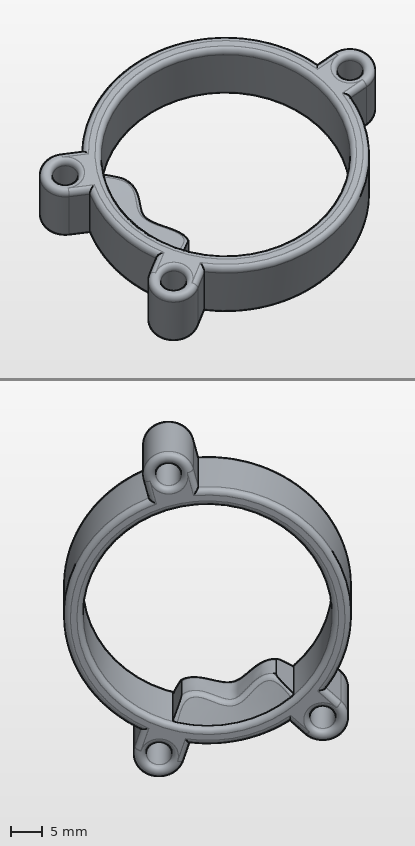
import cadquery as cq
import math

overall_depth = 55.15
height = 12.0
edge_round = 1.0

ring_outer_diameter = 45.0
ring_bore_diameter = 39.0
ring_outer_radius = ring_outer_diameter / 2
ring_bore_radius = ring_bore_diameter / 2

lug_width = 8.0
lug_hole_diameter = 4.0
lug_radius = lug_width / 2
lug_hole_radius = lug_hole_diameter / 2
front_lug_angle = 31.3
lug_directions = (90.0, 270.0 - front_lug_angle, 270.0 + front_lug_angle)
lug_circle_radius = (overall_depth - 2 * lug_radius) / (1 + math.cos(math.radians(front_lug_angle)))
neck_start_radius = 20.95

pad_bottom = edge_round
pad_top = height - edge_round
pad_slope = 0.45
pad_root_half_width = 9.75
pad_tip_half_width = 7.6
pad_tip_y = -13.9
pad_lobe_x = 6.85
pad_lobe_y = -13.7
pad_flank_x = 3.65
pad_flank_y = -14.55
pad_valley_y = -16.3
pad_lip_round = 1.1


def make_ring():
    """Plain ring with rounded rims."""
    ring = cq.Workplane("XY").circle(ring_outer_radius).circle(ring_bore_radius).extrude(height)
    return ring.faces("<Z or >Z").edges().fillet(edge_round)


def make_eye():
    """Lug end around its hole, on the Z axis, with fully rounded rims."""
    wall_middle = (lug_radius + lug_hole_radius) / 2
    shoulder = height - edge_round
    return (
        cq.Workplane("XZ")
        .moveTo(lug_hole_radius, edge_round)
        .threePointArc((wall_middle, 0), (lug_radius, edge_round))
        .lineTo(lug_radius, shoulder)
        .threePointArc((wall_middle, height), (lug_hole_radius, shoulder))
        .close()
        .revolve(360, (0, 0, 0), (0, 1, 0))
    )


def make_flared_hole():
    """Cutter on the Z axis for a lug hole whose two mouths are rounded."""
    mouth_radius = lug_hole_radius + edge_round
    arc_middle = edge_round * (1 - math.sqrt(0.5))
    shoulder = height - edge_round
    return (
        cq.Workplane("XZ")
        .lineTo(mouth_radius, 0)
        .threePointArc((lug_hole_radius + arc_middle, arc_middle), (lug_hole_radius, edge_round))
        .lineTo(lug_hole_radius, shoulder)
        .threePointArc((lug_hole_radius + arc_middle, height - arc_middle), (mouth_radius, height))
        .lineTo(0, height)
        .close()
        .revolve(360, (0, 0, 0), (0, 1, 0))
    )


def make_neck():
    """Straight part of a lug along +X, from the ring wall to the axis of the hole."""
    length = lug_circle_radius - neck_start_radius
    return (
        cq.Workplane("XY")
        .box(length, 2 * lug_radius, height, centered=(False, True, False))
        .edges("|X")
        .fillet(edge_round)
        .translate((neck_start_radius, 0, 0))
    )


def make_lug(direction):
    """Complete lug pointing outward in the given direction (degrees from +X)."""
    hole_place = (lug_circle_radius, 0, 0)
    neck = make_neck().cut(make_flared_hole().translate(hole_place))
    lug = neck.union(make_eye().translate(hole_place))
    return lug.rotate((0, 0, 0), (0, 0, 1), direction)


def make_housing():
    """Ring with its three lugs."""
    housing = make_ring()
    for direction in lug_directions:
        housing = housing.union(make_lug(direction))
    return housing


def make_pad():
    """Two-lobed pad that bears on the bore and slopes away from both rims."""
    root_y = -math.sqrt(ring_bore_radius**2 - pad_root_half_width**2)
    inner_edge = [
        (-pad_lobe_x, pad_lobe_y),
        (-pad_flank_x, pad_flank_y),
        (0, pad_valley_y),
        (pad_flank_x, pad_flank_y),
        (pad_lobe_x, pad_lobe_y),
        (pad_tip_half_width, pad_tip_y),
    ]
    plan = (
        cq.Workplane("XY")
        .moveTo(-pad_root_half_width, root_y)
        .lineTo(-pad_tip_half_width, pad_tip_y)
        .spline(inner_edge, includeCurrent=True)
        .lineTo(pad_root_half_width, root_y)
        .threePointArc((0, -ring_bore_radius), (-pad_root_half_width, root_y))
        .close()
        .extrude(height)
    )
    envelope_inner_radius = ring_bore_radius / 2
    inner_drop = pad_slope * (ring_bore_radius - envelope_inner_radius)
    envelope = (
        cq.Workplane("XZ")
        .moveTo(ring_bore_radius, pad_bottom)
        .lineTo(ring_bore_radius, pad_top)
        .lineTo(envelope_inner_radius, pad_top - inner_drop)
        .lineTo(envelope_inner_radius, pad_bottom + inner_drop)
        .close()
        .revolve(360, (0, 0, 0), (0, 1, 0))
    )
    sharp_pad = plan.intersect(envelope)
    near_lips = cq.selectors.BoxSelector(
        (-pad_tip_half_width, pad_valley_y, 0),
        (pad_tip_half_width, 0, height),
    )
    return sharp_pad.edges(near_lips).edges("not |Z").fillet(pad_lip_round)


housing = make_housing()
pad = make_pad()

result = cq.Compound.makeCompound([housing.val(), pad.val()])